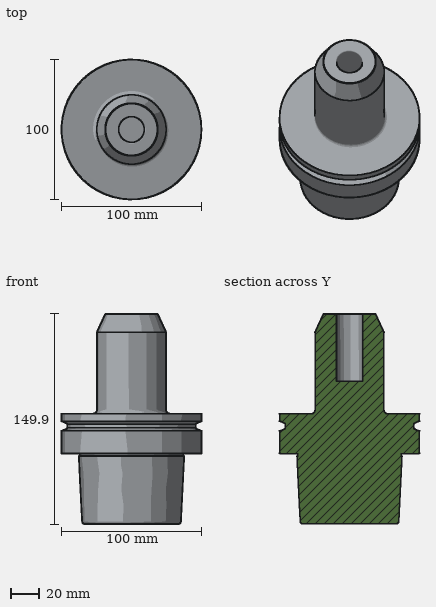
import cadquery as cq
import math

total_height = 149.9
flange_bottom = 50.0
flange_top = 78.8

taper_major_radius = 37.6
taper_slope = 1 / 20
taper_end_fillet = 2.1

relief_radius = 37.0
relief_height = 1.2
relief_chamfer_height = 0.5
land_height = 0.6

flange_radius = 100.0 / 2
flange_edge_chamfer = 0.5
groove_center = 69.9
groove_width = 6.9
groove_floor_radius = 45.9
groove_flank_angle = 22.0
groove_floor_fillet = 0.9

nose_radius = 24.7
nose_root_fillet = 2.7
tip_radius = 18.7
tip_cone_height = 13.0
tip_edge_chamfer = 0.3

bore_radius = 9.1
bore_depth = 48.0
bore_mouth_fillet = 0.9


def revolve_outline(outline):
    """Turn a closed (radius, height) outline about the Z axis."""
    return outline.close().revolve(360, (0, 0, 0), (0, 1, 0))


def make_taper():
    """Tapered shank with a rounded lower end, a short land and a relief under the flange."""
    taper_top = flange_bottom - relief_height - relief_chamfer_height - land_height
    end_radius = taper_major_radius - taper_slope * taper_top
    shank = revolve_outline(
        cq.Workplane("XZ")
        .lineTo(end_radius, 0)
        .lineTo(taper_major_radius, taper_top)
        .lineTo(taper_major_radius, taper_top + land_height)
        .lineTo(relief_radius, flange_bottom - relief_height)
        .lineTo(relief_radius, flange_bottom)
        .lineTo(0, flange_bottom)
    )
    return shank.faces("<Z").edges().fillet(taper_end_fillet)


def make_flange():
    """Flange disc with a chamfered lower edge."""
    disc = (
        cq.Workplane("XY", origin=(0, 0, flange_bottom))
        .circle(flange_radius)
        .extrude(flange_top - flange_bottom)
    )
    return disc.faces("<Z").edges().chamfer(flange_edge_chamfer)


def make_groove():
    """Ring that cuts the gripper groove, symmetric about its mid height."""
    rim_half = groove_width / 2
    flank_depth = flange_radius - groove_floor_radius
    floor_half = rim_half - flank_depth * math.tan(math.radians(groove_flank_angle))
    ring = revolve_outline(
        cq.Workplane("XZ")
        .moveTo(groove_floor_radius, groove_center - floor_half)
        .lineTo(flange_radius, groove_center - rim_half)
        .lineTo(flange_radius, groove_center + rim_half)
        .lineTo(groove_floor_radius, groove_center + floor_half)
    )
    floor_edges = ring.edges("%CIRCLE").edges(cq.selectors.RadiusNthSelector(0))
    return floor_edges.fillet(groove_floor_fillet)


def make_nose():
    """Nose with a conical tip and a concave fillet flaring onto the flange."""
    nose = revolve_outline(
        cq.Workplane("XZ")
        .moveTo(0, flange_top)
        .lineTo(nose_radius + nose_root_fillet, flange_top)
        .radiusArc((nose_radius, flange_top + nose_root_fillet), nose_root_fillet)
        .lineTo(nose_radius, total_height - tip_cone_height)
        .lineTo(tip_radius, total_height)
        .lineTo(0, total_height)
    )
    return nose.faces(">Z").edges().chamfer(tip_edge_chamfer)


def make_bore():
    """Blind bore with a rounded mouth, as a solid to cut away."""
    mouth_radius = bore_radius + bore_mouth_fillet
    return revolve_outline(
        cq.Workplane("XZ")
        .moveTo(0, total_height - bore_depth)
        .lineTo(bore_radius, total_height - bore_depth)
        .lineTo(bore_radius, total_height - bore_mouth_fillet)
        .radiusArc((mouth_radius, total_height), bore_mouth_fillet)
        .lineTo(0, total_height)
    )


body = make_taper().union(make_flange()).union(make_nose())
result = body.cut(make_groove()).cut(make_bore())